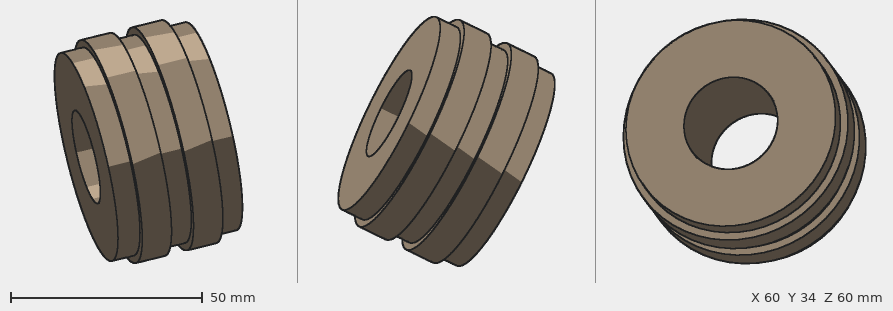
import cadquery as cq

band_diameter = 60.0
body_diameter = 56.0
bore_diameter = 25.0
length = 34.0
gap_width = 6.0
band_count = 2

band_width = (length - (band_count + 1) * gap_width) / band_count
front_y = -length / 2


def cylinder(diameter, start_y, width):
    """Solid cylinder on the Y axis, running from start_y towards +Y."""
    plane = cq.Workplane("XZ", origin=(0, start_y, 0))
    return plane.circle(diameter / 2).extrude(-width)


result = cylinder(body_diameter, front_y, length)
for index in range(band_count):
    band_y = front_y + gap_width + index * (band_width + gap_width)
    result = result.union(cylinder(band_diameter, band_y, band_width))

result = result.cut(cylinder(bore_diameter, front_y, length))